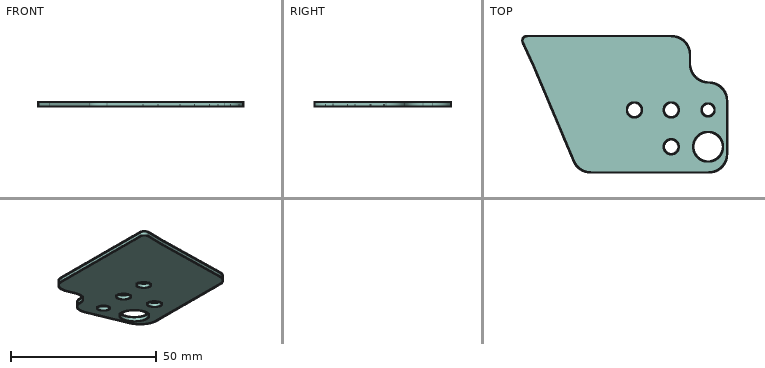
import cadquery as cq
import math

length = 70.64
height = 47.05
thickness = 1.59

corner_radius = 6.4
tip_radius = 1.5875
step_width = 2 * corner_radius
shoulder_height = 31.07
lower_corner_x = 19.38
bend_x = 3.95
bend_y = 36.55

hole_pitch = 12.7
right_margin = 6.6
lower_row_y = 8.89
upper_row_y = lower_row_y + hole_pitch
right_column_x = length - right_margin
middle_column_x = right_column_x - hole_pitch
left_column_x = middle_column_x - hole_pitch
large_diameter = 10.16
medium_diameter = 5.08
small_diameter = 4.37


def tip_tangent_point():
    """Point where the line rising from the bend meets the tip arc."""
    center_x = tip_radius
    center_y = height - tip_radius
    reach = math.hypot(center_x - bend_x, center_y - bend_y)
    center_angle = math.atan2(center_y - bend_y, center_x - bend_x)
    line_angle = center_angle + math.asin(tip_radius / reach)
    tangent_length = math.sqrt(reach**2 - tip_radius**2)
    return (
        bend_x + tangent_length * math.cos(line_angle),
        bend_y + tangent_length * math.sin(line_angle),
    )


def lower_left_tangent_points():
    """Ends of the lower-left corner arc: on the slanted edge and on the bottom edge."""
    edge_angle = math.atan2(bend_y, bend_x - lower_corner_x)
    setback = corner_radius / math.tan(edge_angle / 2)
    on_slant = (
        lower_corner_x + setback * math.cos(edge_angle),
        setback * math.sin(edge_angle),
    )
    return on_slant, (lower_corner_x + setback, 0)


def make_plate():
    slant_end, bottom_start = lower_left_tangent_points()
    step_x = length - step_width
    return (
        cq.Workplane("XY")
        .moveTo(*bottom_start)
        .lineTo(length - corner_radius, 0)
        .tangentArcPoint((length, corner_radius), relative=False)
        .lineTo(length, shoulder_height - corner_radius)
        .tangentArcPoint((length - corner_radius, shoulder_height), relative=False)
        .tangentArcPoint((step_x, shoulder_height + corner_radius), relative=False)
        .lineTo(step_x, height - corner_radius)
        .tangentArcPoint((step_x - corner_radius, height), relative=False)
        .lineTo(tip_radius, height)
        .tangentArcPoint(tip_tangent_point(), relative=False)
        .lineTo(bend_x, bend_y)
        .lineTo(*slant_end)
        .tangentArcPoint(bottom_start, relative=False)
        .close()
        .extrude(thickness)
    )


def drill(body, centers, diameter):
    """Cut round through holes at the given centers."""
    pins = cq.Workplane("XY").pushPoints(centers).circle(diameter / 2).extrude(thickness)
    return body.cut(pins)


medium_centers = [
    (left_column_x, upper_row_y),
    (middle_column_x, upper_row_y),
    (middle_column_x, lower_row_y),
]

result = make_plate()
result = drill(result, medium_centers, medium_diameter)
result = drill(result, [(right_column_x, upper_row_y)], small_diameter)
result = drill(result, [(right_column_x, lower_row_y)], large_diameter)